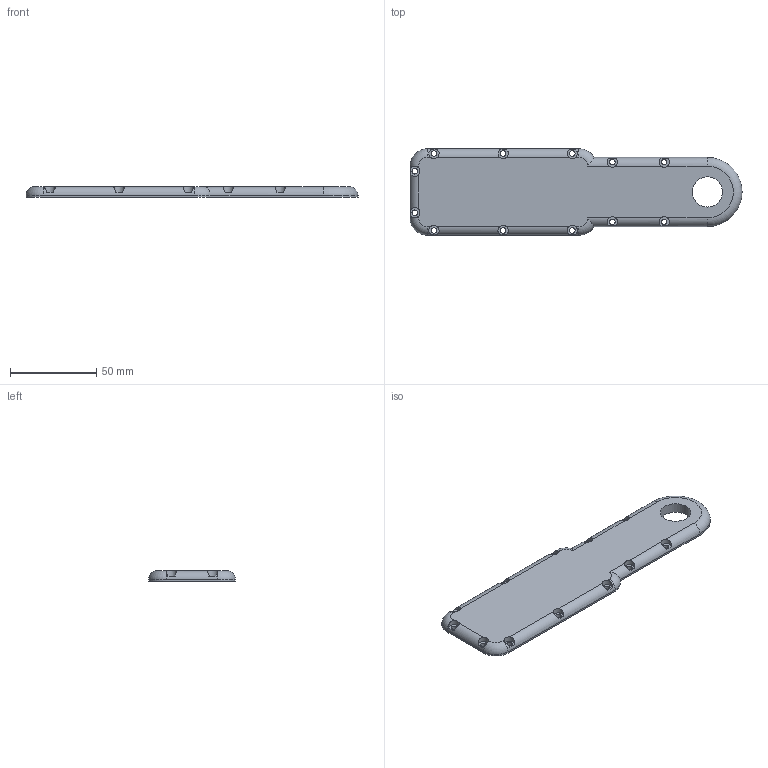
import cadquery as cq

thickness = 6.0
edge_fillet = 5.0

head_length = 107.7
head_width = 50.0
head_corner_radius = 10.0

overall_length = 192.0
handle_width = 40.0
handle_end_radius = handle_width / 2
handle_end_x = overall_length - handle_end_radius
hanging_hole_diameter = 17.5

screw_hole_diameter = 3.2
counterbore_diameter = 6.0
counterbore_floor_z = 3.0
screw_inset = 2.75
head_screw_pitch = 40.0
end_screw_pitch = 24.0
handle_screw_pitch = 30.0
handle_first_screw_x = 117.0


def make_plate():
    """Head and handle joined, with the whole top rim rounded."""
    head = (
        cq.Workplane("XY")
        .rect(head_length, head_width)
        .extrude(thickness)
        .edges("|Z")
        .fillet(head_corner_radius)
        .translate((head_length / 2, 0, 0))
    )
    handle_start_x = head_length / 2
    handle_bar = (
        cq.Workplane("XY")
        .center((handle_start_x + handle_end_x) / 2, 0)
        .rect(handle_end_x - handle_start_x, handle_width)
        .extrude(thickness)
    )
    handle_end = cq.Workplane("XY").center(handle_end_x, 0).circle(handle_end_radius).extrude(thickness)
    plate = head.union(handle_bar).union(handle_end).clean()
    return plate.faces(">Z").edges().fillet(edge_fillet)


def screw_positions():
    """Axes of the screws: both long sides of head and handle, and the head's end."""
    positions = []
    for side in (-1, 1):
        head_screw_y = side * (head_width / 2 - screw_inset)
        handle_screw_y = side * (handle_width / 2 - screw_inset)
        for step in (-1, 0, 1):
            positions.append((head_length / 2 + step * head_screw_pitch, head_screw_y))
        for step in (0, 1):
            positions.append((handle_first_screw_x + step * handle_screw_pitch, handle_screw_y))
        positions.append((screw_inset, side * end_screw_pitch / 2))
    return positions


def make_cylinders(positions, diameter, bottom_z):
    """Vertical cutters from bottom_z up to the top face."""
    return (
        cq.Workplane("XY")
        .workplane(offset=bottom_z)
        .pushPoints(positions)
        .circle(diameter / 2)
        .extrude(thickness - bottom_z)
    )


screws = screw_positions()

result = (
    make_plate()
    .cut(make_cylinders(screws, screw_hole_diameter, 0))
    .cut(make_cylinders(screws, counterbore_diameter, counterbore_floor_z))
    .cut(make_cylinders([(handle_end_x, 0)], hanging_hole_diameter, 0))
)